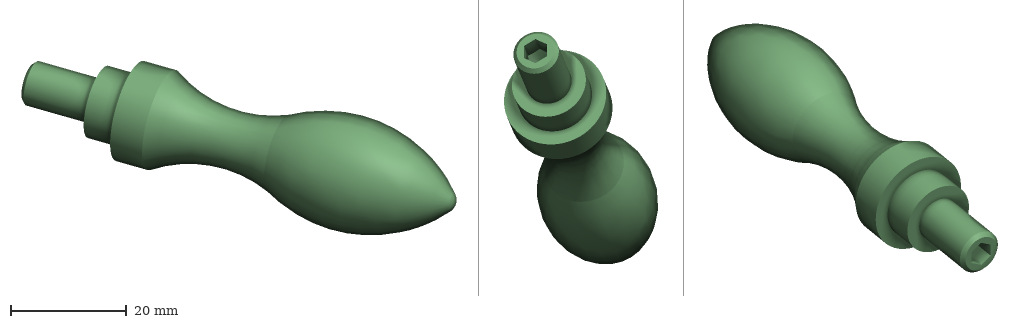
import cadquery as cq
import math

overall_length = 80.0

stud_radius = 8.0 / 2
stud_length = 13.0
stud_chamfer = 0.7
collar_radius = 13.0 / 2
collar_end = stud_length + 6.0
flange_radius = 18.0 / 2
flange_end = collar_end + 6.0

neck_end = 47.0
neck_arc_radius = 24.0
belly_peak_x = 59.8
belly_radius = 10.25
nose_radius = 2.4

socket_across_flats = 4.0
socket_depth = 4.0
socket_cone_angle = 120.0

nose_center_x = overall_length - nose_radius
belly_to_nose = nose_center_x - belly_peak_x
radius_drop = belly_radius - nose_radius
belly_arc_radius = (belly_to_nose**2 / radius_drop + belly_radius + nose_radius) / 2
belly_center_y = belly_radius - belly_arc_radius


def belly_height(x):
    """Radius of the belly at position x along the axis."""
    return belly_center_y + math.sqrt(belly_arc_radius**2 - (x - belly_peak_x) ** 2)


def nose_point(angle):
    """Point on the nose sphere at an angle from the axis, in radians."""
    return (nose_center_x + nose_radius * math.cos(angle), nose_radius * math.sin(angle))


def make_body():
    """Revolve the turned outline about the X axis."""
    nose_angle = math.atan2(-belly_center_y, belly_to_nose)
    return (
        cq.Workplane("XY")
        .moveTo(0, 0)
        .lineTo(0, stud_radius - stud_chamfer)
        .lineTo(stud_chamfer, stud_radius)
        .lineTo(stud_length, stud_radius)
        .lineTo(stud_length, collar_radius)
        .lineTo(collar_end, collar_radius)
        .lineTo(collar_end, flange_radius)
        .lineTo(flange_end, flange_radius)
        .radiusArc((neck_end, belly_height(neck_end)), -neck_arc_radius)
        .threePointArc((belly_peak_x, belly_radius), nose_point(nose_angle))
        .threePointArc(nose_point(nose_angle / 2), (overall_length, 0))
        .close()
        .revolve(360, (0, 0, 0), (1, 0, 0))
    )


def make_socket():
    """Hexagon with two corners along Z, closed by a conical drill bottom."""
    corner_radius = socket_across_flats / math.sqrt(3)
    cone_depth = corner_radius / math.tan(math.radians(socket_cone_angle / 2))
    bottom = socket_depth + cone_depth
    hexagon = (
        cq.Workplane("YZ")
        .polygon(6, 2 * corner_radius)
        .extrude(bottom)
        .rotate((0, 0, 0), (1, 0, 0), 90)
    )
    drill = (
        cq.Workplane("XY")
        .polyline([(0, 0), (0, corner_radius), (socket_depth, corner_radius), (bottom, 0)])
        .close()
        .revolve(360, (0, 0, 0), (1, 0, 0))
    )
    return hexagon.intersect(drill)


result = make_body().cut(make_socket())